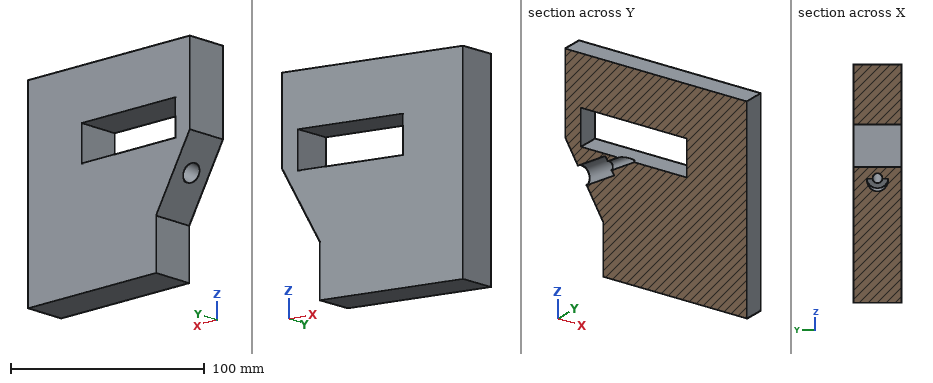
import cadquery as cq
import math

width = 115.0
thickness = 25.0
height = 123.0

step_width = 24.0
slope_top = 72.5
slope_angle = 60.0
slope_bottom = slope_top - step_width * math.tan(math.radians(slope_angle))

window_left = 10.2
window_floor = 70.1
window_width = 66.7
window_height = 21.8

hole_center_height = 53.9
bore_diameter = 11.0
bore_depth = 20.0
pilot_diameter = 4.9


def make_plate():
    return (
        cq.Workplane("XZ")
        .moveTo(step_width, 0)
        .lineTo(width, 0)
        .lineTo(width, height)
        .lineTo(0, height)
        .lineTo(0, slope_top)
        .lineTo(step_width, slope_bottom)
        .close()
        .extrude(-thickness)
    )


def make_window():
    return cq.Workplane("XY").box(window_width, thickness, window_height, centered=False).translate(
        (window_left, 0, window_floor)
    )


def make_stepped_hole():
    rise_angle = math.radians(90 - slope_angle)
    entry_x = (slope_top - hole_center_height) / math.tan(math.radians(slope_angle))
    entry = cq.Vector(entry_x, thickness / 2, hole_center_height)
    direction = cq.Vector(math.cos(rise_angle), 0, math.sin(rise_angle))
    pilot_length = (window_floor + window_height / 2 - hole_center_height) / math.sin(rise_angle)
    bore = cq.Solid.makeCylinder(bore_diameter / 2, bore_depth, entry, direction)
    pilot = cq.Solid.makeCylinder(pilot_diameter / 2, pilot_length, entry, direction)
    return cq.Workplane(bore.fuse(pilot))


result = make_plate().cut(make_window()).cut(make_stepped_hole())